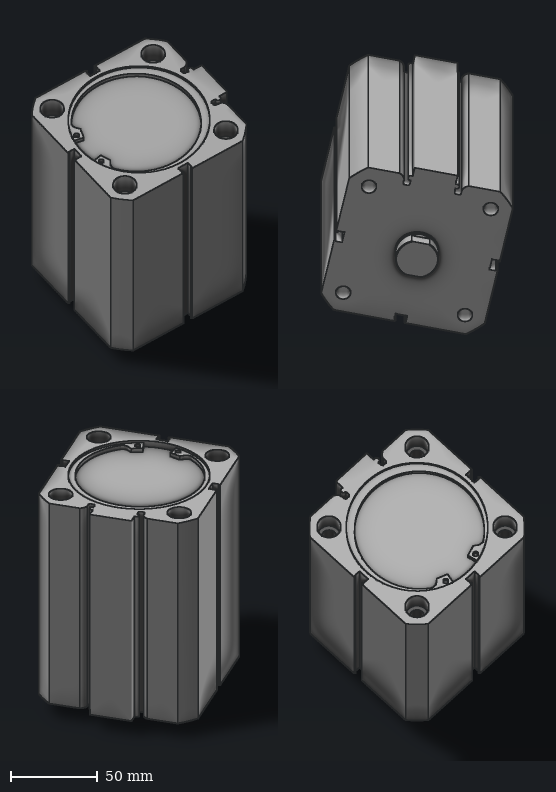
import cadquery as cq
import math

HOUSING_WIDTH = 96.5
HALF_WIDTH = HOUSING_WIDTH / 2
TOTAL_LENGTH = 142.0
ROD_PROTRUSION = 10.0
HOUSING_LENGTH = TOTAL_LENGTH - ROD_PROTRUSION
CORNER_RADIUS = 62.0

MOUNT_OFFSET = 35.9
MOUNT_HOLE_DIAMETER = 8.5
COUNTERBORE_DIAMETER = 13.8
COUNTERBORE_DEPTH = 13.5

SLOT_DEPTH = 4.8
SLOT_WIDTH = 7.0
SLOT_MOUTH = 5.3
SLOT_LIP = 1.0
SLOT_MOUTH_CHAMFER = 0.4

RAIL_TOP = 53.7
RAIL_HALF_WIDTH = 12.6
RAIL_EDGE_FILLET = 0.4
RAIL_BEAD_REACH = 15.0
RAIL_BEAD_TOP = 48.0
RAIL_BEAD_HEIGHT = 3.1
GROOVE_INNER_X = 13.2
GROOVE_OUTER_X = 17.0
GROOVE_FLOOR = 41.5
GROOVE_FLOOR_FILLET = 1.1
GROOVE_LIP_START = 44.6
GROOVE_LIP_BULGE = (18.0, 46.6)
GROOVE_MOUTH_X = 20.5

BORE_RADIUS = 40.9
RING_TOP_DEPTH = 1.4
RING_THICKNESS = 2.5
COVER_THICKNESS = 10.0
RING_TOP = HOUSING_LENGTH - RING_TOP_DEPTH
COVER_TOP = RING_TOP - RING_THICKNESS
COVER_BOTTOM = COVER_TOP - COVER_THICKNESS

RING_INNER_RADIUS = 37.5
RING_INNER_SHIFT = -2.0
LUG_NECK_X = 21.3
LUG_NECK_MIDDLE = (18.7, -33.2)
LUG_NECK_END = (16.8, -32.4)
LUG_OUTER_CORNER = (14.8, -31.0)
LUG_INNER_CORNER = (8.4, -33.2)
LUG_END_X = 9.8
LUG_HOLE_CENTRE = (12.2, -35.6)
LUG_HOLE_DIAMETER = 3.1

ROD_DIAMETER = 25.3
ROD_END_DIAMETER = 24.5
ROD_COLLAR_LENGTH = 1.7
ROD_EDGE_CHAMFER = 0.3
ROD_ACROSS_FLATS = 22.2
ROD_FLAT_TOP = -3.1


def full_length_block(width, depth):
    return cq.Workplane("XY").rect(width, depth).extrude(HOUSING_LENGTH)


def rail():
    width = 2 * RAIL_HALF_WIDTH
    height = RAIL_TOP - GROOVE_FLOOR
    block = full_length_block(width, height)
    block = block.translate((0, GROOVE_FLOOR + height / 2, 0))
    return block.edges("|Z and >Y").fillet(RAIL_EDGE_FILLET)


def rail_groove():
    """Groove beside the rail on the +X side, open at the +Y face, bead left standing on the rail."""
    bead_radius = RAIL_BEAD_HEIGHT / 2
    bead_bottom = RAIL_BEAD_TOP - RAIL_BEAD_HEIGHT
    bead_centre_x = RAIL_BEAD_REACH - bead_radius
    bead_middle_y = RAIL_BEAD_TOP - bead_radius
    return (
        cq.Workplane("XY")
        .moveTo(RAIL_HALF_WIDTH, HALF_WIDTH)
        .lineTo(RAIL_HALF_WIDTH, RAIL_BEAD_TOP)
        .lineTo(bead_centre_x, RAIL_BEAD_TOP)
        .threePointArc((RAIL_BEAD_REACH, bead_middle_y), (bead_centre_x, bead_bottom))
        .lineTo(GROOVE_INNER_X, bead_bottom)
        .lineTo(GROOVE_INNER_X, GROOVE_FLOOR)
        .lineTo(GROOVE_OUTER_X, GROOVE_FLOOR)
        .lineTo(GROOVE_OUTER_X, GROOVE_LIP_START)
        .threePointArc(GROOVE_LIP_BULGE, (GROOVE_MOUTH_X, HALF_WIDTH))
        .close()
        .extrude(HOUSING_LENGTH)
        .edges("|Z and <Y")
        .fillet(GROOVE_FLOOR_FILLET)
    )


def sensor_slot():
    """T-slot in the -Y face."""
    face = -HALF_WIDTH
    lip = face + SLOT_LIP
    floor = face + SLOT_DEPTH
    half_mouth = SLOT_MOUTH / 2
    half_slot = SLOT_WIDTH / 2
    half_opening = half_mouth + SLOT_MOUTH_CHAMFER
    right_side = [
        (half_opening, face),
        (half_mouth, face + SLOT_MOUTH_CHAMFER),
        (half_mouth, lip),
        (half_slot, lip),
        (half_slot, floor),
    ]
    left_side = [(-x, y) for x, y in reversed(right_side)]
    return cq.Workplane("XY").polyline(right_side + left_side).close().extrude(HOUSING_LENGTH)


def mounting_holes():
    corners = [(x, y) for x in (-MOUNT_OFFSET, MOUNT_OFFSET) for y in (-MOUNT_OFFSET, MOUNT_OFFSET)]
    holes = cq.Workplane("XY").pushPoints(corners).circle(MOUNT_HOLE_DIAMETER / 2).extrude(HOUSING_LENGTH)
    counterbores = (
        cq.Workplane("XY")
        .workplane(offset=HOUSING_LENGTH - COUNTERBORE_DEPTH)
        .pushPoints(corners)
        .circle(COUNTERBORE_DIAMETER / 2)
        .extrude(COUNTERBORE_DEPTH)
    )
    return holes.union(counterbores)


def make_housing():
    body = full_length_block(HOUSING_WIDTH, HOUSING_WIDTH)
    body = body.intersect(cq.Workplane("XY").circle(CORNER_RADIUS).extrude(HOUSING_LENGTH))

    groove = rail_groove()
    body = body.union(rail()).cut(groove).cut(groove.mirror("YZ"))

    slot = sensor_slot()
    for angle in (0, 90, -90):
        body = body.cut(slot.rotate((0, 0, 0), (0, 0, 1), angle))

    top_bore_depth = HOUSING_LENGTH - COVER_BOTTOM
    top_bore = cq.Workplane("XY").workplane(offset=COVER_BOTTOM).circle(BORE_RADIUS).extrude(top_bore_depth)
    rod_hole = cq.Workplane("XY").circle(ROD_DIAMETER / 2).extrude(COVER_BOTTOM)
    return body.cut(mounting_holes()).cut(top_bore).cut(rod_hole)


def make_head_cover():
    return cq.Workplane("XY").workplane(offset=COVER_BOTTOM).circle(BORE_RADIUS).extrude(COVER_THICKNESS)


def mirrored(point):
    return (-point[0], point[1])


def make_retaining_ring():
    """Open ring filling the bore, with a drilled lug at each end of the gap on its -Y side."""
    lug_end = (LUG_END_X, -math.sqrt(BORE_RADIUS**2 - LUG_END_X**2))
    neck_start_y = RING_INNER_SHIFT - math.sqrt(RING_INNER_RADIUS**2 - LUG_NECK_X**2)
    neck_start = (LUG_NECK_X, neck_start_y)
    ring = (
        cq.Workplane("XY")
        .workplane(offset=COVER_TOP)
        .moveTo(*lug_end)
        .threePointArc((0, BORE_RADIUS), mirrored(lug_end))
        .lineTo(*mirrored(LUG_INNER_CORNER))
        .lineTo(*mirrored(LUG_OUTER_CORNER))
        .lineTo(*mirrored(LUG_NECK_END))
        .threePointArc(mirrored(LUG_NECK_MIDDLE), mirrored(neck_start))
        .threePointArc((0, RING_INNER_SHIFT + RING_INNER_RADIUS), neck_start)
        .threePointArc(LUG_NECK_MIDDLE, LUG_NECK_END)
        .lineTo(*LUG_OUTER_CORNER)
        .lineTo(*LUG_INNER_CORNER)
        .close()
        .extrude(RING_THICKNESS)
    )
    lug_holes = (
        cq.Workplane("XY")
        .workplane(offset=COVER_TOP)
        .pushPoints([LUG_HOLE_CENTRE, mirrored(LUG_HOLE_CENTRE)])
        .circle(LUG_HOLE_DIAMETER / 2)
        .extrude(RING_THICKNESS)
    )
    return ring.cut(lug_holes)


def wrench_flat():
    """Cutter for the flat on the -Y side: a vertical face, then a 45 degree ramp out of the rod."""
    flat = -ROD_ACROSS_FLATS / 2
    outside = -ROD_DIAMETER / 2
    ramp_rise = flat - outside
    return (
        cq.Workplane("YZ")
        .moveTo(flat, -ROD_PROTRUSION)
        .lineTo(flat, ROD_FLAT_TOP)
        .lineTo(outside, ROD_FLAT_TOP + ramp_rise)
        .lineTo(outside, -ROD_PROTRUSION)
        .close()
        .extrude(ROD_DIAMETER / 2, both=True)
    )


def make_rod():
    """Rod from the head cover down through the housing, with two wrench flats on its end."""
    shank_length = COVER_BOTTOM + ROD_COLLAR_LENGTH
    shank = (
        cq.Workplane("XY")
        .workplane(offset=-ROD_COLLAR_LENGTH)
        .circle(ROD_DIAMETER / 2)
        .extrude(shank_length)
        .faces("<Z")
        .chamfer(ROD_EDGE_CHAMFER)
    )
    rod_end = (
        cq.Workplane("XY")
        .workplane(offset=-ROD_PROTRUSION)
        .circle(ROD_END_DIAMETER / 2)
        .extrude(ROD_PROTRUSION - ROD_COLLAR_LENGTH)
        .faces("<Z")
        .chamfer(ROD_EDGE_CHAMFER)
    )
    flat = wrench_flat()
    return shank.union(rod_end).cut(flat).cut(flat.mirror("XZ"))


housing = make_housing()
head_cover = make_head_cover()
retaining_ring = make_retaining_ring()
rod = make_rod()

result = cq.Compound.makeCompound([housing.val(), head_cover.val(), retaining_ring.val(), rod.val()])